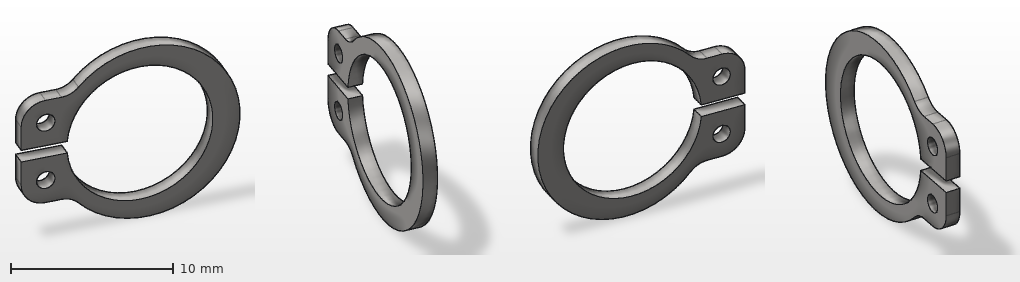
import cadquery as cq
import math

thickness = 1.0
outer_diameter = 12.28
bore_radius = 4.8
total_length = 14.4
rim_offset = 0.45
gap_width = 0.84
lug_half_height = 3.7
lug_corner_radius = 1.6
neck_radius = 1.54
hole_diameter = 1.2
hole_y = -6.19
hole_z = 2.07

outer_radius = outer_diameter / 2
back_y = rim_offset + outer_radius
lug_end_y = back_y - total_length

neck_center_z = lug_half_height + neck_radius
center_distance = outer_radius + neck_radius
neck_center_y = rim_offset - math.sqrt(center_distance**2 - neck_center_z**2)
rim_share = outer_radius / center_distance
rim_end_y = rim_offset + (neck_center_y - rim_offset) * rim_share
rim_end_z = neck_center_z * rim_share

neck_end_angle = math.atan2(rim_end_z - neck_center_z, rim_end_y - neck_center_y)
neck_mid_angle = (neck_end_angle - math.pi / 2) / 2
neck_mid_y = neck_center_y + neck_radius * math.cos(neck_mid_angle)
neck_mid_z = neck_center_z + neck_radius * math.sin(neck_mid_angle)

corner_y = lug_end_y + lug_corner_radius
corner_z = lug_half_height - lug_corner_radius
corner_mid_reach = lug_corner_radius * math.sqrt(0.5)
corner_mid_y = corner_y - corner_mid_reach
corner_mid_z = corner_z + corner_mid_reach


def ring_blank():
    """Eccentric rim with both lugs joined, before the openings are cut."""
    return (
        cq.Workplane("YZ")
        .moveTo(rim_end_y, -rim_end_z)
        .threePointArc((back_y, 0), (rim_end_y, rim_end_z))
        .threePointArc((neck_mid_y, neck_mid_z), (neck_center_y, lug_half_height))
        .lineTo(corner_y, lug_half_height)
        .threePointArc((corner_mid_y, corner_mid_z), (lug_end_y, corner_z))
        .lineTo(lug_end_y, -corner_z)
        .threePointArc((corner_mid_y, -corner_mid_z), (corner_y, -lug_half_height))
        .lineTo(neck_center_y, -lug_half_height)
        .threePointArc((neck_mid_y, -neck_mid_z), (rim_end_y, -rim_end_z))
        .close()
        .extrude(thickness)
    )


def bore():
    """Round opening, turned so that its seam falls inside the gap."""
    cylinder = cq.Workplane("YZ").circle(bore_radius).extrude(thickness)
    return cylinder.rotate((0, 0, 0), (1, 0, 0), 180)


def gap():
    """Slot from the bore centre out through the lug ends."""
    return (
        cq.Workplane("YZ")
        .center(lug_end_y / 2, 0)
        .rect(-lug_end_y, gap_width)
        .extrude(thickness)
    )


def plier_holes():
    return (
        cq.Workplane("YZ")
        .pushPoints([(hole_y, hole_z), (hole_y, -hole_z)])
        .circle(hole_diameter / 2)
        .extrude(thickness)
    )


result = ring_blank().cut(bore()).cut(gap()).cut(plier_holes())